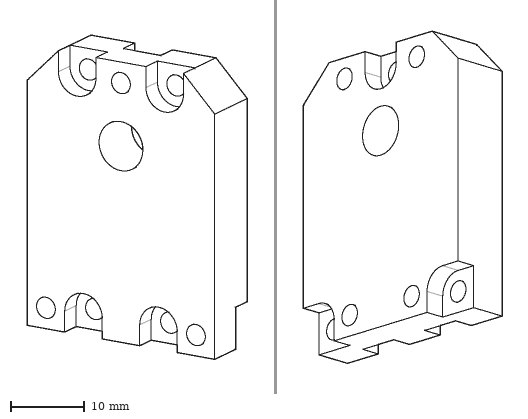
import cadquery as cq

width = 30.0
thickness = 8.5
height = 40.0
corner_chamfer = 5.0

screw_diameter = 3.0
recess_radius = 3.0
recess_depth = 3.0
edge_distance = 3.0
lower_z = edge_distance
upper_z = height - edge_distance
upper_front_x = 7.0
lower_front_x = 6.0
lower_back_x = width / 2 - edge_distance

bore_diameter = 7.0
bore_z = 28.0


def through_hole(x, z, diameter):
    """Round hole through the whole thickness."""
    return (
        cq.Workplane("XZ", origin=(x, 0, z))
        .circle(diameter / 2)
        .extrude(-thickness)
    )


def block(x_min, x_max, y_min, z_min, z_max):
    """Rectangular cutter, one recess depth deep along y."""
    return cq.Workplane("XY").box(
        x_max - x_min, recess_depth, z_max - z_min, centered=False
    ).translate((x_min, y_min, z_min))


def recess(x, z, y_min):
    """Round-ended recess that runs out through the nearer of the top and bottom faces."""
    round_end = (
        cq.Workplane("XZ", origin=(x, y_min, z))
        .circle(recess_radius)
        .extrude(-recess_depth)
    )
    edge_z = height if z > height / 2 else 0
    run_out = block(x - recess_radius, x + recess_radius, y_min, min(z, edge_z), max(z, edge_z))
    return round_end.union(run_out)


plate = (
    cq.Workplane("XY")
    .box(width, thickness, height, centered=(True, False, False))
    .edges("|Y and >Z")
    .chamfer(corner_chamfer)
)

front_y = 0
back_y = thickness - recess_depth

screws = [(0, upper_z, back_y)]
for side in (-1, 1):
    screws.append((side * upper_front_x, upper_z, front_y))
    screws.append((side * lower_front_x, lower_z, front_y))
    screws.append((side * lower_back_x, lower_z, back_y))

result = plate.cut(through_hole(0, bore_z, bore_diameter))
for x, z, recess_y in screws:
    result = result.cut(through_hole(x, z, screw_diameter))
    result = result.cut(recess(x, z, recess_y))

recess_top = lower_z + recess_radius
result = result.cut(block(-width / 2, -lower_back_x, back_y, 0, recess_top))
result = result.cut(block(lower_back_x, width / 2, back_y, 0, recess_top))